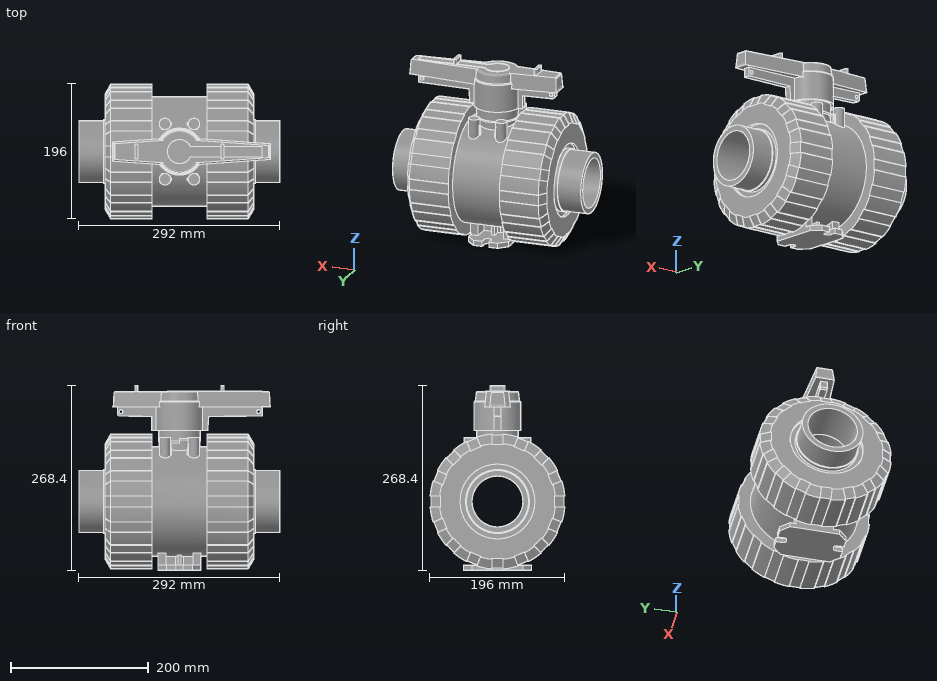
import cadquery as cq
import math

total_length = 292.0
bore_radius = 36.8

barrel_radius = 79.7
barrel_half_length = 87.5
neck_radius = 29.5
collar_radius = 30.5
collar_bottom = 85.3
collar_bevel_height = 2.3
collar_top = 103.0
stop_step = 4.0

post_diameter = 16.5
post_spacing_x = 42.0
post_spacing_y = 80.3
post_top = 93.0
nub_width = 3.5
nub_reach = 1.5
nub_shoulder = 73.0
nub_tip = 83.2
inner_nub_shift = 3.5

foot_bottom = -100.2
foot_thickness = 8.0
foot_width_x = 62.5
foot_width_y = 99.0
foot_chamfer = 12.5
foot_slot_width = 10.5
leg_width = 11.7
leg_length = 56.0
foot_rib_width = 5.0
foot_rib_length = 36.8
foot_boss_radius = 7.0
foot_wall_thickness = 7.0

nut_width = 196.0
nut_inner_x = 39.7
nut_outer_x = 108.0
nut_bevel_length = 8.2
nut_bevel_depth = 14.0
nut_lip_thickness = 4.5
nut_opening_radius = 54.3
groove_count = 16
groove_width = 16.0
groove_depth = 1.5

pipe_diameter = 90.2
ridge_radius = 46.5
ridge_end_x = 110.0

hub_radius = 34.2
hub_shoulder = 146.0
hub_chamfer = 1.5
crown_base_radius = 32.5
crown_top_radius = 30.7
crown_round = 1.8
handle_top = 159.7

blade_left = -97.0
blade_right = 132.5
blade_end_bottom = 137.5
blade_hub_bottom = 137.0
blade_draft = 2.77
blade_left_width = 28.0
blade_hub_width = 37.7
blade_right_width = 22.8
blade_shoulder_x = 27.2
end_draft = 1.0
end_lip = 1.0
end_lip_height = 2.5
end_chamfer = 1.5

web_thickness = 10.2
web_left = -90.2
web_right = 120.3
web_end_bottom = 124.0
web_hub_bottom = 123.2
web_corner_chamfer = 2.3
fin_left = -40.5
fin_right_top = 42.5
fin_right_bottom = 41.2
web_hole_radius = 2.5
web_hole_left_x = -85.0
web_hole_right_x = 115.0
web_hole_z = 130.5

pad_height = 1.0
pad_radius = 17.5
pad_bar_width = 15.5
pad_bar_end = 120.0
tab_x = 62.5
tab_thickness = 4.5
tab_width = 22.0
tab_round = 2.0
tab_top = 168.2

half_length = total_length / 2
post_radius = post_diameter / 2
post_x = post_spacing_x / 2
post_y = post_spacing_y / 2
foot_half_x = foot_width_x / 2
foot_half_y = foot_width_y / 2
pipe_radius = pipe_diameter / 2
foot_top = foot_bottom + foot_thickness
nut_tooth_radius = math.hypot(nut_width / 2, groove_width / 2)
nut_lip_x = nut_outer_x - nut_lip_thickness


def cylinder_z(radius, bottom, top, x=0.0, y=0.0):
    return cq.Workplane("XY", origin=(x, y, bottom)).circle(radius).extrude(top - bottom)


def block(x_min, x_max, y_min, y_max, z_min, z_max):
    return cq.Workplane("XY").box(
        x_max - x_min, y_max - y_min, z_max - z_min, centered=False
    ).translate((x_min, y_min, z_min))


def revolve_about_x(points):
    """Revolve an (x, radius) outline about the pipe axis."""
    return cq.Workplane("XY").polyline(points).close().revolve(360, (0, 0, 0), (1, 0, 0))


def revolve_about_z(points):
    """Revolve a (radius, z) outline about the stem axis."""
    return cq.Workplane("XZ").polyline(points).close().revolve(360, (0, 0, 0), (0, 1, 0))


def make_collar(bottom):
    """Stem collar whose lower edge is bevelled down to the neck."""
    return revolve_about_z([
        (0, bottom),
        (neck_radius, bottom),
        (collar_radius, bottom + collar_bevel_height),
        (collar_radius, collar_top),
        (0, collar_top),
    ])


def make_neck():
    """Neck with a collar; the collar's lower edge is raised over the +X, -Y quadrant."""
    quadrant = block(0, hub_radius, -hub_radius, 0, collar_bottom, collar_top)
    low_collar = make_collar(collar_bottom).cut(quadrant)
    high_collar = make_collar(collar_bottom + stop_step).intersect(quadrant)
    return cylinder_z(neck_radius, 0, collar_top).union(low_collar).union(high_collar)


def make_nub(reach):
    """Flat nub reaching from the post axis along +X, tapering away at its top."""
    root = reach - nub_reach
    outline = [(0, 0), (reach, 0), (reach, nub_shoulder), (root, nub_tip), (0, nub_tip)]
    return cq.Workplane("XZ").polyline(outline).close().extrude(nub_width / 2, both=True)


def make_post():
    """Post of the -X, -Y corner: one nub faces along +X, one faces the stem along +Y."""
    side_nub = make_nub(post_radius + nub_reach)
    inner_nub = make_nub(post_radius).rotate((0, 0, 0), (0, 0, 1), 90)
    post = cylinder_z(post_radius, 0, post_top).union(side_nub)
    post = post.union(inner_nub.translate((-inner_nub_shift, 0, 0)))
    return post.translate((-post_x, -post_y, 0))


def make_foot():
    plate = block(-foot_half_x, foot_half_x, -foot_half_y, foot_half_y, foot_bottom, foot_top)
    plate = plate.edges("|Z").chamfer(foot_chamfer)
    for side in (-1, 1):
        slot_length = 2 * (foot_half_y - post_y) + foot_slot_width
        slot = cq.Workplane("XY", origin=(0, side * foot_half_y, foot_bottom)).slot2D(
            slot_length, foot_slot_width, 90
        ).extrude(foot_thickness)
        plate = plate.cut(slot)

    foot = plate.union(cylinder_z(foot_boss_radius, foot_bottom, -bore_radius))
    for side in (-1, 1):
        leg = cq.Workplane("XY").box(
            leg_width, leg_length, -foot_bottom, centered=(True, True, False)
        ).translate((side * (foot_half_x - leg_width / 2), 0, foot_bottom))
        foot = foot.union(leg)
    rib = cq.Workplane("XY", origin=(0, 0, foot_bottom)).rect(foot_rib_width, foot_rib_length)
    rib = rib.extrude(-foot_bottom)
    wall = cq.Workplane("XY", origin=(0, 0, foot_bottom)).rect(foot_width_x, foot_wall_thickness)
    wall = wall.extrude(-foot_bottom)
    return foot.union(rib).union(wall)


def make_body():
    barrel = cq.Workplane("YZ").circle(barrel_radius).extrude(barrel_half_length, both=True)
    body = barrel.union(make_neck()).union(make_foot())
    front_posts = make_post().union(make_post().mirror("YZ"))
    body = body.union(front_posts).union(front_posts.mirror("XZ"))
    bore = cq.Workplane("YZ").circle(bore_radius).extrude(barrel_half_length, both=True)
    return body.cut(bore)


def make_nut():
    """Nut on the +X end: bevelled ring with shallow flat-bottomed grooves all round."""
    bevel_x = nut_outer_x - nut_bevel_length
    face_radius = nut_tooth_radius - nut_bevel_depth
    nut = revolve_about_x([
        (nut_inner_x, barrel_radius),
        (nut_inner_x, nut_tooth_radius),
        (bevel_x, nut_tooth_radius),
        (nut_outer_x, face_radius),
        (nut_outer_x, nut_opening_radius),
        (nut_lip_x, nut_opening_radius),
        (nut_lip_x, barrel_radius),
    ])

    groove = cq.Workplane("XZ").polyline([
        (nut_inner_x, nut_tooth_radius - groove_depth),
        (bevel_x, nut_tooth_radius - groove_depth),
        (nut_outer_x, face_radius - groove_depth),
        (nut_outer_x, nut_width),
        (nut_inner_x, nut_width),
    ]).close().extrude(groove_width / 2, both=True)
    for index in range(groove_count):
        angle = index * 360 / groove_count
        nut = nut.cut(groove.rotate((0, 0, 0), (1, 0, 0), angle))
    return nut


def make_connector():
    """Connector on the +X end: flange held under the nut lip, ridge, then the pipe."""
    return revolve_about_x([
        (barrel_half_length, bore_radius),
        (barrel_half_length, barrel_radius),
        (nut_lip_x, barrel_radius),
        (nut_lip_x, ridge_radius),
        (ridge_end_x, ridge_radius),
        (ridge_end_x, pipe_radius),
        (half_length, pipe_radius),
        (half_length, bore_radius),
    ])


def make_hub():
    hub = cylinder_z(hub_radius, collar_top, hub_shoulder).faces(">Z").chamfer(hub_chamfer)
    crown = revolve_about_z([
        (0, hub_shoulder),
        (crown_base_radius, hub_shoulder),
        (crown_top_radius, handle_top),
        (0, handle_top),
    ]).faces(">Z").edges().fillet(crown_round)
    return hub.union(crown)


def blade_planform(inset):
    """Plan outline of the blade, narrowed on each side by the inset."""
    hub_y = blade_hub_width / 2 - inset
    upper_side = [
        (blade_left, blade_left_width / 2 - inset),
        (-blade_shoulder_x, hub_y),
        (blade_shoulder_x, hub_y),
        (blade_right, blade_right_width / 2 - inset),
    ]
    lower_side = [(x, -y) for x, y in reversed(upper_side)]
    return upper_side + lower_side


def blade_end(tip_x, side):
    """Side outline of one blade end, from the bottom edge up: lip, drafted face, chamfer."""
    face_x = tip_x - side * end_lip
    top_x = face_x - side * end_draft
    return [
        (tip_x, blade_end_bottom),
        (face_x, blade_end_bottom + end_lip_height),
        (top_x, handle_top - end_chamfer),
        (top_x - side * end_chamfer, handle_top),
    ]


def make_blade():
    """Two-armed blade with drafted sides, trimmed to its side outline."""
    drafted = (
        cq.Workplane("XY", origin=(0, 0, blade_hub_bottom)).polyline(blade_planform(0)).close()
        .workplane(offset=handle_top - blade_hub_bottom).polyline(blade_planform(blade_draft)).close()
        .loft(ruled=True)
    )
    outline = (
        [(blade_shoulder_x, blade_hub_bottom)]
        + blade_end(blade_right, 1)
        + blade_end(blade_left, -1)[::-1]
        + [(-blade_shoulder_x, blade_hub_bottom)]
    )
    trim = cq.Workplane("XZ").polyline(outline).close().extrude(blade_hub_width, both=True)
    return drafted.intersect(trim)


def make_web():
    """Thin web under both arms, deepened to a fin beside the hub, with a hole at each tip."""
    outline = [
        (web_left, blade_end_bottom),
        (web_left, web_end_bottom + web_corner_chamfer),
        (web_left + web_corner_chamfer, web_end_bottom),
        (fin_left, web_hub_bottom),
        (fin_left, collar_top),
        (fin_right_bottom, collar_top),
        (fin_right_top, web_hub_bottom),
        (web_right, web_end_bottom),
        (web_right, blade_end_bottom),
        (blade_shoulder_x, blade_end_bottom + end_lip_height),
        (-blade_shoulder_x, blade_end_bottom + end_lip_height),
    ]
    web = cq.Workplane("XZ").polyline(outline).close().extrude(web_thickness / 2, both=True)
    hole_centres = [(web_hole_left_x, web_hole_z), (web_hole_right_x, web_hole_z)]
    holes = cq.Workplane("XZ").pushPoints(hole_centres).circle(web_hole_radius).extrude(
        web_thickness, both=True
    )
    return web.cut(holes)


def make_pad():
    """Low raised pad: a disc over the stem and a bar along the longer arm."""
    pad_top = handle_top + pad_height
    disc = cylinder_z(pad_radius, handle_top, pad_top)
    bar = block(0, pad_bar_end, -pad_bar_width / 2, pad_bar_width / 2, handle_top, pad_top)
    return disc.union(bar)


def make_tab(x):
    return cq.Workplane("XY", origin=(x, 0, handle_top)).rect(tab_thickness, tab_width).extrude(
        tab_top - handle_top
    ).edges("|Z").fillet(tab_round)


def make_handle():
    handle = make_hub().union(make_blade()).union(make_web()).union(make_pad())
    for x in (-tab_x, tab_x):
        handle = handle.union(make_tab(x))
    return handle


body = make_body()
handle = make_handle()
nuts = []
connectors = []
for turn in (0, 180):
    nuts.append(make_nut().rotate((0, 0, 0), (0, 0, 1), turn).solids().val())
    connectors.append(make_connector().rotate((0, 0, 0), (0, 0, 1), turn).solids().val())

result = cq.Compound.makeCompound([body.solids().val(), handle.solids().val(), *nuts, *connectors])